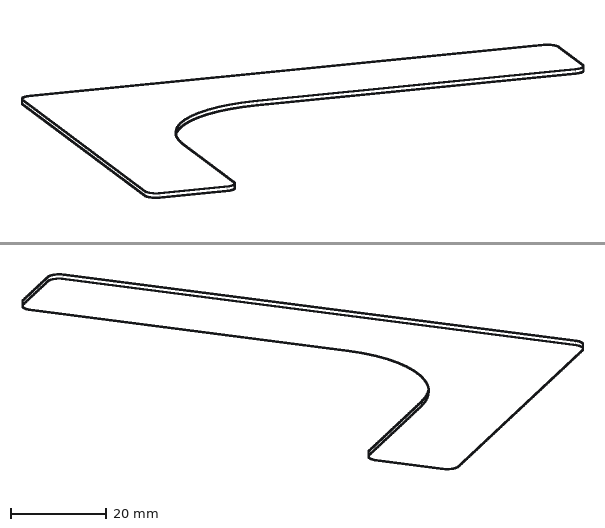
import cadquery as cq

long_arm_length = 120.0
short_arm_length = 80.0
arm_width = 20.0
thickness = 1.0

inner_radius = 26.0
corner_radius = 2.5

outline = [
    (0, 0),
    (short_arm_length, 0),
    (short_arm_length, arm_width),
    (arm_width, arm_width),
    (arm_width, long_arm_length),
    (0, long_arm_length),
]
plate = cq.Workplane("XY").polyline(outline).close().extrude(thickness)

inner_edge = cq.selectors.NearestToPointSelector((arm_width, arm_width, thickness / 2))
plate = plate.edges("|Z").edges(inner_edge).fillet(inner_radius)

outer_corners = plate.edges("|Z and (<X or >X or <Y or >Y)")
result = outer_corners.fillet(corner_radius)